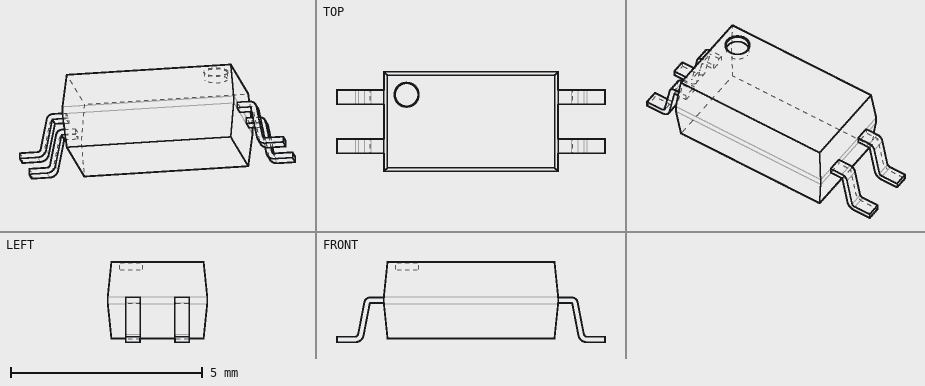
import math

import cadquery as cq

body_length = 4.55
body_width = 2.6
body_bottom = 0.1
body_top = 2.1
belt_height = 0.19
body_draft = 6.0

mark_x = -1.68
mark_y = 0.7
mark_diameter = 0.6
mark_depth = 0.2
mark_chamfer = 0.02
chamfer_angle = 45

lead_span = 7.0
lead_pitch = 1.28
lead_width = 0.38
lead_thickness = 0.15
lead_lean = 11.0
lead_knee_x = 2.635
lead_embed = 0.2
knee_outer_radius = 0.17
heel_inner_radius = 0.08

body_mid = (body_bottom + body_top) / 2
belt_top = body_mid + belt_height / 2
half_height = body_top - belt_top
heel_outer_radius = heel_inner_radius + lead_thickness


def make_body():
    belt = (
        cq.Workplane("XY")
        .workplane(offset=body_mid - belt_height / 2)
        .rect(body_length, body_width)
        .extrude(belt_height)
    )
    upper = (
        cq.Workplane("XY")
        .workplane(offset=belt_top)
        .rect(body_length, body_width)
        .extrude(half_height, taper=body_draft)
    )
    lower = upper.mirror("XY", (0, 0, body_mid))
    return belt.union(upper, clean=False).union(lower, clean=False)


def make_mark():
    """Cutter for the pin 1 mark: a blind hole with a chamfered rim."""
    hole = (
        cq.Workplane("XY", origin=(mark_x, mark_y, body_top))
        .circle(mark_diameter / 2)
        .extrude(-mark_depth)
    )
    rim = (
        cq.Workplane("XY", origin=(mark_x, mark_y, body_top))
        .circle(mark_diameter / 2 + mark_chamfer)
        .extrude(-mark_chamfer, taper=chamfer_angle)
    )
    return hole.union(rim)


def make_lead(y):
    """Lead on the +X end, centred on the given Y."""
    lean = math.radians(lead_lean)
    shoulder_top = body_mid + lead_thickness / 2
    shoulder_bottom = body_mid - lead_thickness / 2
    corner_step = lead_thickness * math.tan((math.pi / 2 - lean) / 2)
    knee_outer_x = lead_knee_x + corner_step
    heel_inner_x = knee_outer_x + (shoulder_top - lead_thickness) * math.tan(lean)
    heel_outer_x = heel_inner_x - corner_step
    root_x = body_length / 2 - lead_embed
    tip_x = lead_span / 2

    outline = [
        (root_x, shoulder_top),
        (knee_outer_x, shoulder_top),
        (heel_inner_x, lead_thickness),
        (tip_x, lead_thickness),
        (tip_x, 0),
        (heel_outer_x, 0),
        (lead_knee_x, shoulder_bottom),
        (root_x, shoulder_bottom),
    ]
    lead = (
        cq.Workplane("XZ", origin=(0, y + lead_width / 2, 0))
        .polyline(outline)
        .close()
        .extrude(lead_width)
    )
    bends = [
        (knee_outer_x, shoulder_top, knee_outer_radius),
        (heel_inner_x, lead_thickness, heel_inner_radius),
        (heel_outer_x, 0, heel_outer_radius),
    ]
    for x, z, radius in bends:
        corner = cq.selectors.NearestToPointSelector((x, y, z))
        lead = lead.edges("|Y").edges(corner).fillet(radius)
    return lead


result = make_body()
for lead_y in (-lead_pitch / 2, lead_pitch / 2):
    lead = make_lead(lead_y)
    result = result.union(lead, clean=False).union(lead.mirror("YZ"), clean=False)
result = result.cut(make_mark(), clean=False)